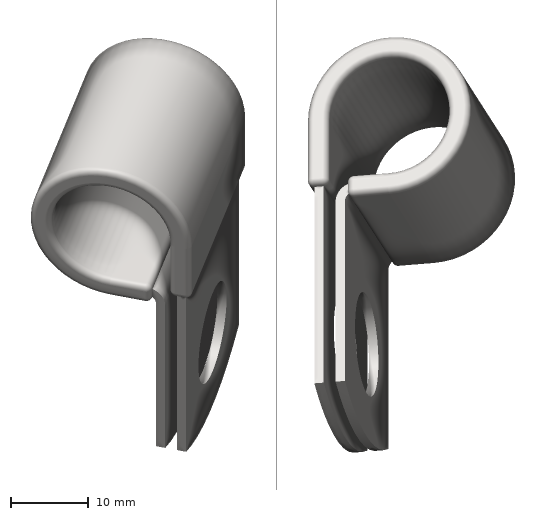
import cadquery as cq
import math

loop_outer_diameter = 21.5
sleeve_thickness = 2.85
sleeve_width = 27.0
sleeve_round = 0.8
strap_thickness = 1.25
strap_width = 25.25
overall_height = 49.65
lower_sleeve_length = 5.45
side_sleeve_length = 8.9
bend_inner_radius = 1.25
inner_leg_right = 7.15
hole_diameter = 13.5
hole_drop = 26.2
end_sagitta = 3.0

outer_radius = loop_outer_diameter / 2
mid_radius = outer_radius - sleeve_thickness / 2
bottom_z = outer_radius - overall_height
bend_outer_radius = bend_inner_radius + strap_thickness
strap_top_z = -mid_radius + strap_thickness / 2
strap_under_z = -mid_radius - strap_thickness / 2
bend_start_x = inner_leg_right - bend_outer_radius
inner_leg_left = inner_leg_right - strap_thickness
bend_center_z = strap_top_z - bend_outer_radius


def front_plane(width):
    """XZ sketch plane placed so that extruding by width is centred on Y = 0."""
    return cq.Workplane("XZ", origin=(0, width / 2, 0))


def make_sleeve():
    """Cushion: three-quarter loop with a straight tail at each end."""
    inner_radius = outer_radius - sleeve_thickness
    diagonal = math.sqrt(0.5)
    sleeve = (
        front_plane(sleeve_width)
        .moveTo(lower_sleeve_length, -outer_radius)
        .lineTo(0, -outer_radius)
        .threePointArc((-outer_radius * diagonal, outer_radius * diagonal), (outer_radius, 0))
        .lineTo(outer_radius, -side_sleeve_length)
        .lineTo(inner_radius, -side_sleeve_length)
        .lineTo(inner_radius, 0)
        .threePointArc((-inner_radius * diagonal, inner_radius * diagonal), (0, -inner_radius))
        .lineTo(lower_sleeve_length, -inner_radius)
        .close()
        .extrude(sleeve_width)
    )
    side_edges = sleeve.faces("<Y or >Y").edges()
    lower_tip = cq.selectors.NearestToPointSelector((lower_sleeve_length, 0, -mid_radius))
    side_tip = cq.selectors.NearestToPointSelector((mid_radius, 0, -side_sleeve_length))
    tip_edges = sleeve.faces(lower_tip).edges().add(sleeve.faces(side_tip).edges())
    return side_edges.add(tip_edges).fillet(sleeve_round)


def make_inner_leg():
    """Strap leaving the lower tail and bending down; its root is buried in the sleeve."""
    return (
        front_plane(strap_width)
        .moveTo(0, strap_top_z)
        .lineTo(bend_start_x, strap_top_z)
        .radiusArc((inner_leg_right, bend_center_z), bend_outer_radius)
        .lineTo(inner_leg_right, bottom_z)
        .lineTo(inner_leg_left, bottom_z)
        .lineTo(inner_leg_left, bend_center_z)
        .radiusArc((bend_start_x, strap_under_z), -bend_inner_radius)
        .lineTo(0, strap_under_z)
        .close()
        .extrude(strap_width)
    )


def make_outer_leg():
    """Straight strap hanging from the side tail; its root is buried in the sleeve."""
    return (
        front_plane(strap_width)
        .moveTo(mid_radius, bottom_z / 2)
        .rect(strap_thickness, -bottom_z)
        .extrude(strap_width)
    )


def make_leg_envelope():
    """Leg outline in YZ with an arc end and the bolt hole, spanning the loop in X."""
    half_width = strap_width / 2
    corner_z = bottom_z + end_sagitta
    return (
        cq.Workplane("YZ")
        .moveTo(-half_width, 0)
        .lineTo(-half_width, corner_z)
        .threePointArc((0, bottom_z), (half_width, corner_z))
        .lineTo(half_width, 0)
        .close()
        .moveTo(0, -hole_drop)
        .circle(hole_diameter / 2)
        .extrude(outer_radius)
    )


legs = make_inner_leg().add(make_outer_leg()).combine().intersect(make_leg_envelope())
result = make_sleeve().union(legs)